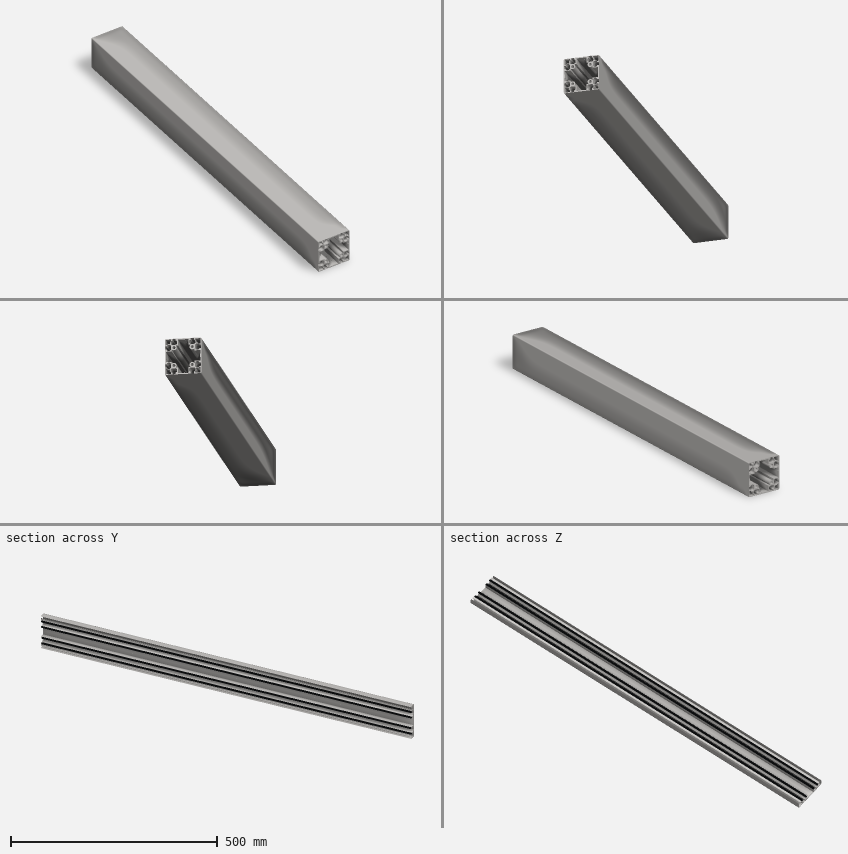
import cadquery as cq
import math

length = 1000.0
side = 90.01
corner_radius = 2.5
half_side = side / 2
quarter_turn_count = 4

core_depth = 22.5
core_radius = 6.6
core_hole_radius = 3.7
core_center = half_side - core_depth

slot_skin = 0.5
neck_half_width = 4.0
slot_half_width = 8.0
slot_top_depth = 4.6
slot_floor_depth = 15.5
slot_corner_radius = 4.6

chamber_skin = 2.0
chamber_reach = 12.9
flare_reach = 15.5
flare_start_depth = 5.6
flare_end_depth = 8.0

outer_wall = 2.5
slot_wall = 1.5
rib_half_width = 4.2
rib_depth = 3.0
void_arm = core_center - slot_half_width - slot_wall
void_step = half_side - slot_floor_depth - slot_wall


def turned(point, quarter_turns):
    """Turn a (y, z) point about the part's axis by quarter turns."""
    y, z = point
    for _ in range(quarter_turns):
        y, z = -z, y
    return y, z


def section():
    """Sketch plane of the cross-section at the -X end."""
    return cq.Workplane("YZ", origin=(-length / 2, 0, 0))


def prism(points):
    """Full-length prism on a closed outline of straight segments."""
    return section().polyline(points).close().extrude(length)


def turned_copies(shape):
    """The shape repeated at all four quarter turns."""
    return [shape.rotate((0, 0, 0), (1, 0, 0), 90 * turn) for turn in range(quarter_turn_count)]


def outer_bar():
    bar = section().rect(side, side).extrude(length)
    return bar.edges("|X").fillet(corner_radius)


def central_void():
    """Cross-shaped void whose inner corners bulge around the screw cores."""
    wall_face = half_side - outer_wall
    rib_face = half_side - rib_depth
    core_meeting = core_center - math.sqrt(core_radius**2 - (void_step - core_center) ** 2)
    bulge = core_center - core_radius / math.sqrt(2)
    arm = [
        (wall_face, -void_arm),
        (wall_face, -rib_half_width),
        (rib_face, -rib_half_width),
        (rib_face, rib_half_width),
        (wall_face, rib_half_width),
        (wall_face, void_arm),
        (void_step, void_arm),
        (void_step, core_meeting),
    ]
    outline = section().moveTo(void_step, -void_arm)
    for turn in range(quarter_turn_count):
        for point in arm:
            outline = outline.lineTo(*turned(point, turn))
        arc_middle = turned((bulge, bulge), turn)
        arc_end = turned((core_meeting, void_step), turn)
        outline = outline.threePointArc(arc_middle, arc_end)
        if turn < quarter_turn_count - 1:
            outline = outline.lineTo(*turned((void_arm, void_step), turn))
    return outline.close().extrude(length)


def closed_slot(offset):
    """T-slot behind the +Z face, centred at y = offset."""
    neck_height = slot_floor_depth - slot_corner_radius - slot_skin
    neck = (
        section()
        .center(offset, half_side - slot_skin - neck_height / 2)
        .rect(2 * neck_half_width, neck_height)
        .extrude(length)
    )
    body = (
        section()
        .center(offset, half_side - (slot_top_depth + slot_floor_depth) / 2)
        .rect(2 * slot_half_width, slot_floor_depth - slot_top_depth)
        .extrude(length)
        .edges("|X")
        .fillet(slot_corner_radius)
    )
    return body.union(neck)


def corner_chamber():
    """Chamber in the +Y +Z corner, symmetric about the corner's diagonal."""
    flare = [
        (flare_reach, chamber_skin),
        (flare_reach, flare_start_depth),
        (chamber_reach, flare_end_depth),
    ]
    mirrored_flare = [(z, y) for y, z in reversed(flare)]
    depths = [(chamber_skin, chamber_skin)] + flare + [(chamber_reach, chamber_reach)] + mirrored_flare
    return prism([(half_side - y, half_side - z) for y, z in depths])


def core_hole():
    return section().center(core_center, core_center).circle(core_hole_radius).extrude(length)


repeated_cuts = [closed_slot(core_center), closed_slot(-core_center), corner_chamber(), core_hole()]

result = outer_bar().cut(central_void())
for cutter in repeated_cuts:
    for copy in turned_copies(cutter):
        result = result.cut(copy)